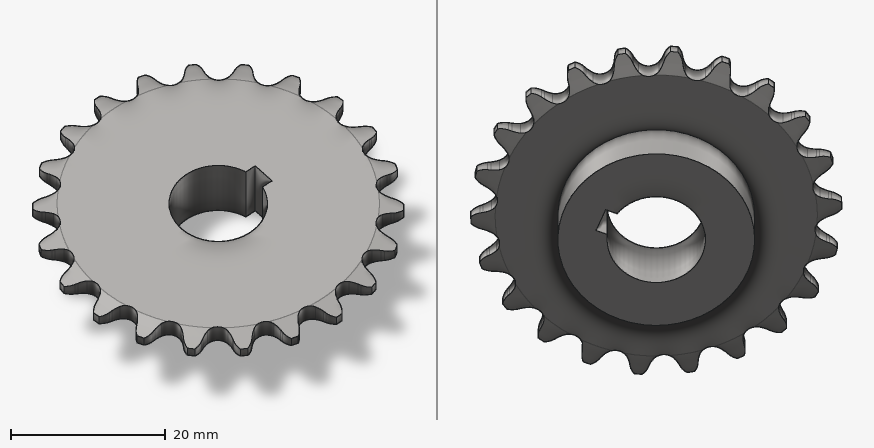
import cadquery as cq
import math

tooth_count = 22
tip_radius = 24.0
pitch_radius = 22.3
roller_diameter = 3.3
seating_radius = 1.7
plate_thickness = 2.8
tip_thickness = 1.45
bevel_start_radius = 20.8

overall_height = 9.15
hub_diameter = 25.4
bore_diameter = 12.7
keyway_width = 3.3
keyway_reach = 7.7

half_tooth_angle = math.pi / tooth_count
seating_angle = math.radians(35 + 60 / tooth_count)
working_angle = math.radians(18 - 56 / tooth_count)
working_center_distance = 0.8 * roller_diameter
topping_center_distance = 1.4 * roller_diameter

plate_top = overall_height
plate_bottom = plate_top - plate_thickness
bevel_drop = (plate_thickness - tip_thickness) / 2


def offset(point, distance, angle):
    """Point reached by moving a distance from a point along a direction angle."""
    return (point[0] + distance * math.cos(angle), point[1] + distance * math.sin(angle))


def mirrored(point):
    return (-point[0], point[1])


def make_blank():
    """Disc with both rims bevelled towards the tooth tips."""
    half_section = [
        (0, plate_bottom),
        (bevel_start_radius, plate_bottom),
        (tip_radius, plate_bottom + bevel_drop),
        (tip_radius, plate_top - bevel_drop),
        (bevel_start_radius, plate_top),
        (0, plate_top),
    ]
    return cq.Workplane("XZ").polyline(half_section).close().revolve(360, (0, 0), (0, 1))


def make_tooth_gap():
    """Cutter for the gap between two teeth, centred on the +Y axis."""
    seat_center = (0, pitch_radius)
    seat_bottom = offset(seat_center, seating_radius, -math.pi / 2)

    seat_end = offset(seat_center, seating_radius, -seating_angle)
    working_center = offset(seat_center, -working_center_distance, -seating_angle)
    working_radius = seating_radius + working_center_distance
    flank_angle = working_angle - seating_angle
    working_middle = offset(working_center, working_radius, flank_angle - working_angle / 2)
    working_end = offset(working_center, working_radius, flank_angle)

    topping_center = offset(seat_center, topping_center_distance, -half_tooth_angle)
    topping_radius = (
        (topping_center[0] - working_end[0]) * math.cos(flank_angle)
        + (topping_center[1] - working_end[1]) * math.sin(flank_angle)
    )
    topping_start_angle = math.pi + flank_angle
    topping_start = offset(topping_center, topping_radius, topping_start_angle)

    center_distance = math.hypot(*topping_center)
    inward_angle = math.atan2(topping_center[1], topping_center[0]) + math.pi
    tip_turn = math.acos(
        (center_distance**2 + topping_radius**2 - tip_radius**2)
        / (2 * center_distance * topping_radius)
    )
    topping_end_angle = inward_angle - tip_turn
    topping_middle_angle = (topping_start_angle + topping_end_angle) / 2
    topping_middle = offset(topping_center, topping_radius, topping_middle_angle)
    topping_end = offset(topping_center, topping_radius, topping_end_angle)

    clear_point = (topping_end[0], topping_end[1] + seating_radius)

    return (
        cq.Workplane("XY", origin=(0, 0, plate_bottom))
        .moveTo(*mirrored(seat_end))
        .threePointArc(seat_bottom, seat_end)
        .threePointArc(working_middle, working_end)
        .lineTo(*topping_start)
        .threePointArc(topping_middle, topping_end)
        .lineTo(*clear_point)
        .lineTo(*mirrored(clear_point))
        .lineTo(*mirrored(topping_end))
        .threePointArc(mirrored(topping_middle), mirrored(topping_start))
        .lineTo(*mirrored(working_end))
        .threePointArc(mirrored(working_middle), mirrored(seat_end))
        .close()
        .extrude(plate_thickness)
    )


def make_hub():
    return cq.Workplane("XY").circle(hub_diameter / 2).extrude(plate_bottom)


def make_keyed_bore():
    """Through bore with a rectangular keyway on the +Y side."""
    bore = cq.Workplane("XY").circle(bore_diameter / 2).extrude(overall_height)
    keyway = (
        cq.Workplane("XY")
        .center(0, keyway_reach / 2)
        .rect(keyway_width, keyway_reach)
        .extrude(overall_height)
    )
    return bore.union(keyway)


plate = make_blank()
tooth_gap = make_tooth_gap()
for index in range(tooth_count):
    plate = plate.cut(tooth_gap.rotate((0, 0, 0), (0, 0, 1), index * 360 / tooth_count))

result = plate.union(make_hub()).cut(make_keyed_bore())